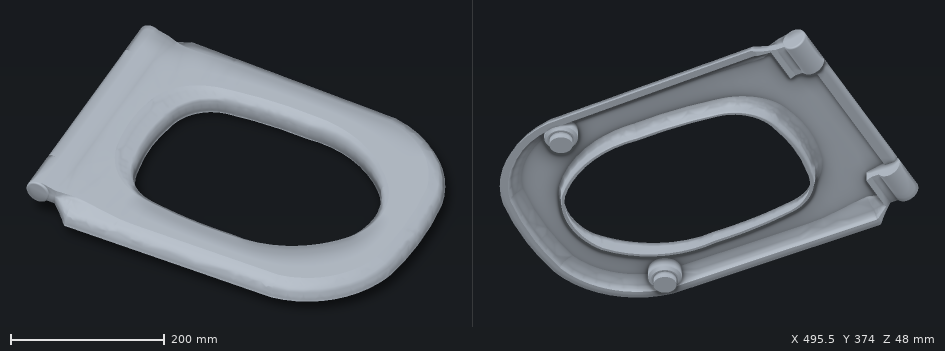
import cadquery as cq
import math


LENGTH = 495.5
HALF_WIDTH = 374.0 / 2
FLANK_X = 41.5
SHOULDER_X = 68.0
SIDE_END = (368.5, 182.5)
CORNER_MID = (462.5, 129.0)
FRONT_END = (489.5, 72.0)

TOP_Z = 22.0
REAR_TOP_Z = 35.0
ARM_BOTTOM_Z = 10.0
LIP_BOTTOM_Z = -8.5
LIP_JOIN_Z = 5.0
SHELL = 7.5
LIP_WALL = 4.0

TOP_SLOPE = [(45.0, 29.5), (80.0, 26.0), (158.5, TOP_Z)]
SLOPE_START = (1.0, -0.2)
SKIRT_START_X = 64.0

SKIRT = [(0, 0), (4.5, 10.0), (10.5, 17.0), (18.0, 20.5), (25.0, 23.0), (30.5, 36.5)]
ARM_DRAFT = 0.1

THROAT = [(98.5, 0), (103.5, 44.5), (118.5, 80.0), (157.5, 102.0), (214.0, 108.0),
          (272.5, 108.5), (354.5, 95.5), (407.5, 55.0), (423.5, 0)]
RIM = [(71.5, 0), (77.0, 49.5), (95.0, 87.0), (141.5, 116.0), (208.0, 125.0),
       (277.0, 126.0), (367.0, 102.0), (422.5, 52.0), (439.0, 0)]
FLARE = [(0, LIP_BOTTOM_Z), (0.1, 5.0), (0.35, 15.0), (0.85, 21.5), (1.15, 28.0), (1.3, 39.5)]

KNUCKLE_RADIUS = 33.0 / 2
KNUCKLE_X = KNUCKLE_RADIUS
KNUCKLE_Z = REAR_TOP_Z - KNUCKLE_RADIUS
KNUCKLE_INNER_Y = 109.5
KNUCKLE_OUTER_Y = 165.0
KNUCKLE_EDGE = 2.5
BAR_REAR_X = 4.0
BAR_FRONT_X = 22.0
BAR_THICKNESS = 12.5
BAR_NOSE_RADIUS = 6.0

BUFFER_X = 365.0
BUFFER_Y = 150.0
BASE_DIAMETER = 44.0
BASE_TIP_DIAMETER = 36.5
BASE_BOTTOM_Z = -3.5
BASE_TOP_Z = TOP_Z - SHELL
FOOT_DIAMETER = 30.0
FOOT_BOTTOM_Z = -13.0

SIDES = (-1, 1)


def box(x_range, half_y, z_range):
    """Block centred on the mirror plane."""
    length = x_range[1] - x_range[0]
    height = z_range[1] - z_range[0]
    block = cq.Workplane("XY", origin=(x_range[0], 0, z_range[0]))
    return block.box(length, 2 * half_y, height, centered=(False, True, False))


def pad_outline(inset, z):
    """Outline of the pad at height z, drawn in from the skirt; the hinge arms nearly keep their width."""
    arm_y = KNUCKLE_OUTER_Y - ARM_DRAFT * inset
    half_width = HALF_WIDTH - inset
    side_y = SIDE_END[1] - inset
    corner_x, corner_y = (value - inset * math.sqrt(0.5) for value in CORNER_MID)
    front_x = FRONT_END[0] - inset
    return (
        cq.Workplane("XY", origin=(0, 0, z))
        .moveTo(KNUCKLE_X, -arm_y)
        .lineTo(FLANK_X, -arm_y)
        .lineTo(SHOULDER_X, -half_width)
        .lineTo(SIDE_END[0], -side_y)
        .threePointArc((corner_x, -corner_y), (front_x, -FRONT_END[1]))
        .threePointArc((LENGTH - inset, 0), (front_x, FRONT_END[1]))
        .threePointArc((corner_x, corner_y), (SIDE_END[0], side_y))
        .lineTo(SHOULDER_X, half_width)
        .lineTo(FLANK_X, arm_y)
        .lineTo(KNUCKLE_X, arm_y)
        .close()
        .val()
    )


def side_slab(drop):
    """Side profile of the pad over its full width, with the top lowered by drop."""
    slope = [(x, z - drop) for x, z in TOP_SLOPE]
    return (
        cq.Workplane("XZ")
        .moveTo(KNUCKLE_X, ARM_BOTTOM_Z)
        .lineTo(KNUCKLE_X, REAR_TOP_Z - drop)
        .lineTo(BAR_FRONT_X, REAR_TOP_Z - drop)
        .spline(slope, tangents=[SLOPE_START, (1, 0)], includeCurrent=True)
        .lineTo(LENGTH, TOP_Z - drop)
        .lineTo(LENGTH, 0)
        .lineTo(SKIRT_START_X, 0)
        .lineTo(FLANK_X, ARM_BOTTOM_Z)
        .close()
        .extrude(HALF_WIDTH, both=True)
    )


def pad(offset):
    """Body under the rounded skirt and the top, moved inwards by offset."""
    outlines = [pad_outline(inset + offset, z - offset) for inset, z in SKIRT]
    return cq.Workplane(cq.Solid.makeLoft(outlines)).intersect(side_slab(offset))


def opening_outline(share, grow, z):
    """Loop of arcs between the throat (share 0) and the rim (share 1), widened by grow."""
    middle_x = (THROAT[0][0] + THROAT[-1][0]) / 2
    half = []
    for (throat_x, throat_y), (rim_x, rim_y) in zip(THROAT, RIM):
        x = throat_x + share * (rim_x - throat_x)
        y = throat_y + share * (rim_y - throat_y)
        stretch = 1 + grow / math.hypot(x - middle_x, y)
        half.append((middle_x + stretch * (x - middle_x), stretch * y))
    loop = half[1:] + [(x, -y) for x, y in reversed(half[1:-1])] + half[:2]
    outline = cq.Workplane("XY", origin=(0, 0, z)).moveTo(*loop[0])
    for middle, end in zip(loop[1::2], loop[2::2]):
        outline = outline.threePointArc(middle, end)
    return outline.close().val()


def funnel(grow):
    """Plug that flares from the throat to the rim, widened by grow."""
    return cq.Workplane(cq.Solid.makeLoft([opening_outline(share, grow, z) for share, z in FLARE]))


def knuckles():
    """Round hinge blocks at the rear corners."""
    knuckle = (
        cq.Workplane("XZ", origin=(KNUCKLE_X, KNUCKLE_OUTER_Y, KNUCKLE_Z))
        .circle(KNUCKLE_RADIUS)
        .extrude(KNUCKLE_OUTER_Y - KNUCKLE_INNER_Y)
        .faces(">Y")
        .edges()
        .fillet(KNUCKLE_EDGE)
    )
    return knuckle.union(knuckle.mirror("XZ"))


def rear_bar():
    """Round-nosed rear edge between the knuckles."""
    bar = box((BAR_REAR_X, BAR_FRONT_X), KNUCKLE_INNER_Y, (REAR_TOP_Z - BAR_THICKNESS, REAR_TOP_Z))
    return bar.edges("<X and |Y").fillet(BAR_NOSE_RADIUS)


def cavity():
    """Hollow underside, open to the rear between the knuckles."""
    beyond_arms = box((FLANK_X + SHELL, LENGTH), HALF_WIDTH, (0, REAR_TOP_Z))
    between_arms = box((0, LENGTH), KNUCKLE_INNER_Y, (0, REAR_TOP_Z))
    return pad(SHELL).intersect(beyond_arms.union(between_arms))


def seat():
    """Hollow seat with its lip around the opening."""
    lip = funnel(LIP_WALL)
    low_lip = lip.intersect(box((0, LENGTH), HALF_WIDTH, (LIP_BOTTOM_Z, LIP_JOIN_Z)))
    body = pad(0).cut(cavity().cut(lip))
    body = body.union(rear_bar()).union(knuckles()).union(low_lip)
    return body.cut(funnel(0))


def buffer_base(side):
    """Round base that reaches the ceiling of the shell and tapers below the skirt."""
    y = side * BUFFER_Y
    return (
        cq.Workplane("XZ", origin=(BUFFER_X, y, 0))
        .moveTo(0, BASE_BOTTOM_Z)
        .lineTo(BASE_TIP_DIAMETER / 2, BASE_BOTTOM_Z)
        .lineTo(BASE_DIAMETER / 2, 0)
        .lineTo(BASE_DIAMETER / 2, BASE_TOP_Z)
        .lineTo(0, BASE_TOP_Z)
        .close()
        .revolve(360, (0, 0), (0, 1))
    )


def buffer_foot(side):
    """Round foot below the base."""
    return (
        cq.Workplane("XY", origin=(BUFFER_X, side * BUFFER_Y, FOOT_BOTTOM_Z))
        .circle(FOOT_DIAMETER / 2)
        .extrude(BASE_BOTTOM_Z - FOOT_BOTTOM_Z)
    )


bases = [buffer_base(side) for side in SIDES]
feet = [buffer_foot(side) for side in SIDES]

seat_shell = seat()
for base in bases:
    seat_shell = seat_shell.cut(base)

result = cq.Compound.makeCompound([
    *seat_shell.solids().vals(),
    *[base.val() for base in bases],
    *[foot.val() for foot in feet],
])